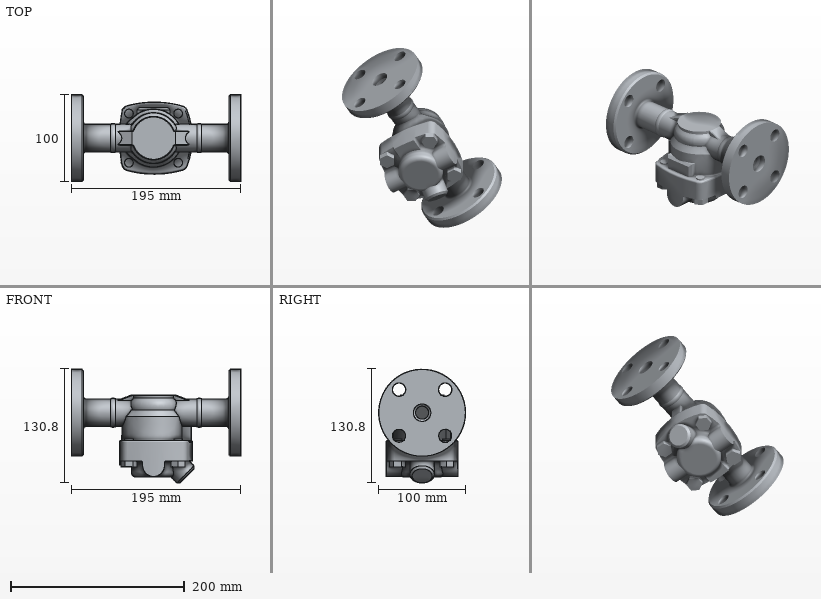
import cadquery as cq

hole_count = 4
first_hole_angle = 45.0

overall_length = 195.0
flange_dia = 100.0
flange_thick = 14.0
flange_edge_chamfer = 2.0
flange_bolt_circle = 75.0
flange_hole_dia = 15.0
pipe_dia = 32.0
pipe_root_fillet = 2.5
socket_dia = 20.0
socket_depth = 7.6
socket_cone_depth = 2.0
bore_dia = 15.0
bore_depth = 40.0
bead_offset = 49.5
bead_width = 5.6
bead_height = 0.8

body_x = -3.0
cap_top_z = 20.6
cap_radius = 25.0
cap_groove_radius = 24.4
cap_groove_top_z = 19.6
cap_groove_bottom_z = 16.8
collar_upper_radius = 26.0
collar_upper_z = 15.0
collar_radius = 29.2
collar_middle_radius = 28.8
collar_middle_z = 10.5
collar_bottom_z = 5.5
neck_radius = 28.7
neck_z = 3.0
shoulder_radius = 33.2
shoulder_z = -4.5
barrel_radius = 33.6
barrel_root_fillet = 1.7

inlet_wall_offset = 8.1
inlet_wall_inset = 5.1

joint_top_z = -32.0
joint_split_z = -43.8
joint_bottom_z = -55.5
joint_edge_fillet = 2.0
joint_left = -42.3
joint_right = 41.7
joint_half_width = 41.5
left_corner_x = -38.2
right_corner_x = 34.0
corner_y = 35.8
corner_fillet = 8.5

bolt_circle = 80.0
bolt_dia = 10.0
bolt_tip_z = -30.2
bolt_head_flats = 16.0
bolt_head_twist = 45.0
bolt_head_bottom_z = -62.2
bolt_clearance_dia = 22.0

dome_radius = 25.6
dome_bottom_z = -74.0
dome_fillet = 5.6
dome_root_fillet = 6.5
rib_radius = 12.5
rib_bottom_z = -73.4
ridge_root_fillet = 2.5
pad_half_width = 13.0
pad_bottom_z = -60.0
ridge_reach = 50.0

drain_dia = 28.0
drain_length = 36.0
drain_chamfer = 2.5
drain_end_x = 35.5
drain_end_z = -72.64

ear_half_width = 8.3
ear_reach = 41.0
ear_tip_z = 14.2
ear_chamfer = 0.9

stiffener_end_x = 40.4
stiffener_half_width = 7.3
stiffener_top_z = -15.8
stiffener_fillet = 2.0
plate_width = 38.0
plate_back_y = 35.4
plate_top_z = -16.0
plate_chamfer = 2.8


def vertical_cylinder(x, radius, z_low, z_high):
    return cq.Workplane("XY", origin=(x, 0, z_low)).circle(radius).extrude(z_high - z_low)


def make_end():
    """Pipe half with its flange and weld bead, pointing along +X."""
    half_length = overall_length / 2
    face_x = half_length - flange_thick
    pipe_radius = pipe_dia / 2
    flange_radius = flange_dia / 2
    profile = (
        cq.Workplane("XY")
        .lineTo(0, pipe_radius)
        .lineTo(bead_offset - bead_width / 2, pipe_radius)
        .threePointArc(
            (bead_offset, pipe_radius + bead_height),
            (bead_offset + bead_width / 2, pipe_radius),
        )
        .lineTo(face_x - pipe_root_fillet, pipe_radius)
        .radiusArc((face_x, pipe_radius + pipe_root_fillet), -pipe_root_fillet)
        .lineTo(face_x, flange_radius - flange_edge_chamfer)
        .lineTo(face_x + flange_edge_chamfer, flange_radius)
        .lineTo(half_length, flange_radius)
        .lineTo(half_length, 0)
        .close()
    )
    end = profile.revolve(360, (0, 0, 0), (1, 0, 0))
    holes = (
        cq.Workplane("YZ", origin=(face_x, 0, 0))
        .polarArray(flange_bolt_circle / 2, first_hole_angle, 360, hole_count)
        .circle(flange_hole_dia / 2)
        .extrude(flange_thick)
    )
    return end.cut(holes)


def make_bore():
    """Socket and bore at the +X end."""
    end_plane = cq.Workplane("YZ", origin=(overall_length / 2, 0, 0))
    socket = end_plane.circle(socket_dia / 2).extrude(-socket_depth)
    cone = (
        end_plane.workplane(offset=-socket_depth)
        .circle(socket_dia / 2)
        .workplane(offset=-socket_cone_depth)
        .circle(bore_dia / 2)
        .loft(ruled=True)
    )
    bore = end_plane.circle(bore_dia / 2).extrude(-bore_depth)
    return bore.union(cone).union(socket)


def opposite_end(shape):
    return shape.mirror("YZ")


def barrel_profile(start, inset=0.0):
    """Continue a profile from the cap down the barrel to the body flange."""
    radius = barrel_radius - inset
    return (
        start.lineTo(neck_radius - inset, neck_z)
        .lineTo(shoulder_radius - inset, shoulder_z)
        .lineTo(radius, joint_top_z + barrel_root_fillet)
        .radiusArc((radius + barrel_root_fillet, joint_top_z), -barrel_root_fillet)
        .lineTo(0, joint_top_z)
        .close()
    )


def revolve_upright(profile, axis_x):
    """Turn an XZ profile about its own vertical axis and stand it at axis_x."""
    return profile.revolve(360, (0, 0, 0), (0, 1, 0)).translate((axis_x, 0, 0))


def make_body():
    upper = (
        cq.Workplane("XZ")
        .moveTo(0, cap_top_z)
        .lineTo(cap_radius, cap_top_z)
        .lineTo(cap_radius, cap_groove_top_z)
        .lineTo(cap_groove_radius, cap_groove_top_z)
        .lineTo(cap_groove_radius, cap_groove_bottom_z)
        .lineTo(collar_upper_radius, collar_upper_z)
        .threePointArc((collar_middle_radius, collar_middle_z), (collar_radius, collar_bottom_z))
    )
    return revolve_upright(barrel_profile(upper), body_x)


def make_inlet_wall():
    neck_centre = cq.Workplane("XZ").moveTo(0, neck_z)
    wall = barrel_profile(neck_centre, inlet_wall_inset)
    return revolve_upright(wall, body_x - inlet_wall_offset)


def joint_outline(z_low, z_high):
    """Four bowed sides with rounded corners."""
    return (
        cq.Workplane("XY", origin=(0, 0, z_low))
        .moveTo(left_corner_x, -corner_y)
        .threePointArc((body_x, -joint_half_width), (right_corner_x, -corner_y))
        .threePointArc((joint_right, 0), (right_corner_x, corner_y))
        .threePointArc((body_x, joint_half_width), (left_corner_x, corner_y))
        .threePointArc((joint_left, 0), (left_corner_x, -corner_y))
        .close()
        .extrude(z_high - z_low)
        .edges("|Z")
        .fillet(corner_fillet)
    )


def make_joint():
    """Body flange and cover stacked, keeping the seam between their matching sides."""
    upper = joint_outline(joint_split_z, joint_top_z).faces(">Z").edges().fillet(joint_edge_fillet)
    return upper.union(joint_outline(joint_bottom_z, joint_split_z), clean=False)


def make_bolts():
    bolts = cq.Workplane("XY")
    head_height = joint_bottom_z - bolt_head_bottom_z
    for index in range(hole_count):
        angle = first_hole_angle + index * 360 / hole_count
        head = (
            cq.Workplane("XY", origin=(bolt_circle / 2, 0, bolt_head_bottom_z))
            .transformed(rotate=(0, 0, bolt_head_twist))
            .polygon(6, bolt_head_flats, circumscribed=True)
            .extrude(head_height)
        )
        shank = vertical_cylinder(bolt_circle / 2, bolt_dia / 2, joint_bottom_z, bolt_tip_z)
        bolts = bolts.union(head.union(shank).rotate((0, 0, 0), (0, 0, 1), angle))
    return bolts.translate((body_x, 0, 0))


def make_dome():
    """Round cover bottom, flared into the joint and cut back around the bolt heads."""
    flare_radius = dome_radius + dome_root_fillet
    dome = (
        cq.Workplane("XZ")
        .moveTo(0, joint_bottom_z)
        .lineTo(flare_radius, joint_bottom_z)
        .radiusArc((dome_radius, joint_bottom_z - dome_root_fillet), -dome_root_fillet)
        .lineTo(dome_radius, dome_bottom_z + dome_fillet)
        .radiusArc((dome_radius - dome_fillet, dome_bottom_z), dome_fillet)
        .lineTo(0, dome_bottom_z)
        .close()
        .revolve(360, (0, 0, 0), (0, 1, 0))
    )
    clearances = (
        cq.Workplane("XY", origin=(0, 0, dome_bottom_z))
        .polarArray(bolt_circle / 2, first_hole_angle, 360, hole_count)
        .circle(bolt_clearance_dia / 2)
        .extrude(joint_bottom_z - dome_bottom_z)
    )
    return dome.cut(clearances).translate((body_x, 0, 0))


def flared_top(workplane, half_width, bottom_z):
    """Start a ridge profile: down its flared left side to bottom_z."""
    return (
        workplane.moveTo(half_width + ridge_root_fillet, joint_bottom_z)
        .lineTo(-half_width - ridge_root_fillet, joint_bottom_z)
        .radiusArc((-half_width, joint_bottom_z - ridge_root_fillet), ridge_root_fillet)
        .lineTo(-half_width, bottom_z)
    )


def close_flared(profile, half_width):
    """Finish a ridge profile: up its flared right side."""
    return (
        profile.lineTo(half_width, joint_bottom_z - ridge_root_fillet)
        .radiusArc((half_width + ridge_root_fillet, joint_bottom_z), ridge_root_fillet)
        .close()
    )


def make_ridges():
    """Round-bottomed rib across the cover along Y, and the flat pad on its inlet side."""
    rib_centre_z = rib_bottom_z + rib_radius
    rib_plane = cq.Workplane("XZ", origin=(body_x, ridge_reach, 0))
    rib = flared_top(rib_plane, rib_radius, rib_centre_z)
    rib = rib.threePointArc((0, rib_bottom_z), (rib_radius, rib_centre_z))
    rib = close_flared(rib, rib_radius).extrude(2 * ridge_reach)

    pad_plane = cq.Workplane("YZ", origin=(body_x, 0, 0))
    pad = flared_top(pad_plane, pad_half_width, pad_bottom_z).lineTo(pad_half_width, pad_bottom_z)
    pad = close_flared(pad, pad_half_width).extrude(-ridge_reach)

    return rib.union(pad).intersect(joint_outline(dome_bottom_z, joint_bottom_z))


def make_drain():
    drain_plane = cq.Plane(origin=(drain_end_x, 0, drain_end_z), xDir=(0, 1, 0), normal=(-1, 0, 1))
    drain = cq.Workplane(drain_plane).circle(drain_dia / 2).extrude(drain_length)
    return drain.faces("<Z").edges().chamfer(drain_chamfer)


def make_ears():
    ears = (
        cq.Workplane("XZ", origin=(body_x, ear_half_width, 0))
        .moveTo(-ear_reach, ear_tip_z)
        .lineTo(-cap_radius, cap_top_z)
        .lineTo(cap_radius, cap_top_z)
        .lineTo(ear_reach, ear_tip_z)
        .close()
        .extrude(2 * ear_half_width)
    )
    sloped_edges = "not (|X or |Y or |Z)"
    return ears.edges(sloped_edges).chamfer(ear_chamfer)


def make_stiffener():
    length = stiffener_end_x - body_x
    return (
        cq.Workplane("XY", origin=(body_x + length / 2, 0, joint_top_z))
        .rect(length, 2 * stiffener_half_width)
        .extrude(stiffener_top_z - joint_top_z)
        .edges("|Z and >X")
        .fillet(stiffener_fillet)
    )


def make_name_plate():
    return (
        cq.Workplane("XY", origin=(body_x, plate_back_y / 2, joint_top_z))
        .rect(plate_width, plate_back_y)
        .extrude(plate_top_z - joint_top_z)
        .edges("|Z and >Y")
        .chamfer(plate_chamfer)
        .edges(">Z and >Y")
        .chamfer(plate_chamfer)
    )


end = make_end()
bore = make_bore()
result = end.union(opposite_end(end))
for piece in (
    make_body(),
    make_inlet_wall(),
    make_joint(),
    make_dome(),
    make_ridges(),
    make_drain(),
    make_bolts(),
    make_ears(),
    make_stiffener(),
    make_name_plate(),
):
    result = result.union(piece, clean=False)
result = result.cut(bore).cut(opposite_end(bore))